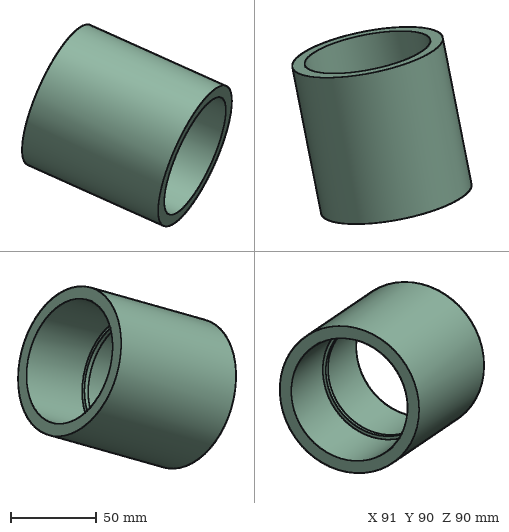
import cadquery as cq

length = 91.0
outer_diameter = 90.0
socket_diameter = 75.0
stop_diameter = 71.0
stop_width = 3.0
socket_depth = (length - stop_width) / 2


def cylinder_along_x(diameter, start_x, cylinder_length):
    """Solid cylinder on the X axis, running from start_x toward +X."""
    profile = cq.Workplane("YZ", origin=(start_x, 0, 0)).circle(diameter / 2)
    return profile.extrude(cylinder_length)


def coupling():
    """Sleeve with a through bore and an equal socket in each end."""
    left_end = -length / 2
    right_socket_floor = left_end + socket_depth + stop_width
    body = cylinder_along_x(outer_diameter, left_end, length)
    body = body.cut(cylinder_along_x(stop_diameter, left_end, length))
    for socket_start in (left_end, right_socket_floor):
        body = body.cut(cylinder_along_x(socket_diameter, socket_start, socket_depth))
    return body


result = coupling()